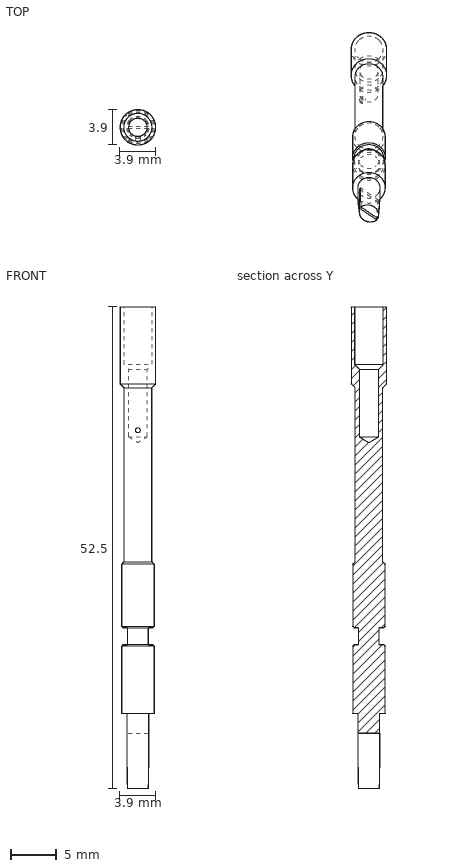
import cadquery as cq
import math

length = 52.5
head_radius = 1.95
stem_radius = 1.5
collar_radius = 1.8
neck_radius = 1.15
tip_radius = 1.2

tip_top = 8.2
lower_collar_top = 15.7
upper_collar_bottom = 17.55
upper_collar_top = 24.75
head_bottom = 43.7
edge_chamfer = 0.15

socket_radius = 1.5
socket_depth = 6.3
socket_bore_radius = 1.0
socket_bore_bottom = 38.3
drill_point_angle = 118
inspection_radius = 0.25
inspection_height = 39.05

slot_width = 0.2
slot_height = 6.05
prong_inset = 0.25
tip_overrun = 0.5


def turned_body():
    """Everything above the prongs, revolved about Z."""
    head_chamfer = head_radius - stem_radius
    collar_inner = collar_radius - edge_chamfer
    profile = [
        (0, slot_height),
        (tip_radius, slot_height),
        (tip_radius, tip_top),
        (collar_radius, tip_top),
        (collar_radius, lower_collar_top - edge_chamfer),
        (collar_inner, lower_collar_top),
        (neck_radius, lower_collar_top),
        (neck_radius, upper_collar_bottom),
        (collar_inner, upper_collar_bottom),
        (collar_radius, upper_collar_bottom + edge_chamfer),
        (collar_radius, upper_collar_top - (collar_radius - stem_radius)),
        (stem_radius, upper_collar_top),
        (stem_radius, head_bottom),
        (head_radius, head_bottom + head_chamfer),
        (head_radius, length),
        (0, length),
    ]
    return cq.Workplane("XZ").polyline(profile).close().revolve(360, (0, 0), (0, 1))


def wire_socket():
    """Stepped blind bore with a 45 degree step and a drill-point end."""
    step_top = length - socket_depth
    step_bottom = step_top - (socket_radius - socket_bore_radius)
    point_depth = socket_bore_radius / math.tan(math.radians(drill_point_angle / 2))
    profile = [
        (0, length),
        (socket_radius, length),
        (socket_radius, step_top),
        (socket_bore_radius, step_bottom),
        (socket_bore_radius, socket_bore_bottom),
        (0, socket_bore_bottom - point_depth),
    ]
    return cq.Workplane("XZ").polyline(profile).close().revolve(360, (0, 0), (0, 1))


def inspection_hole():
    """Hole through the front wall into the socket bore."""
    return (
        cq.Workplane("XZ")
        .center(0, inspection_height)
        .circle(inspection_radius)
        .extrude(stem_radius)
    )


def prong(side):
    """Half-round prong, bent inwards along an arc tangent to the tip."""
    bend_radius = (slot_height**2 + prong_inset**2) / (2 * prong_inset)
    bend_angle = math.asin((slot_height + tip_overrun) / bend_radius)

    def bend_point(angle):
        inset = bend_radius * (1 - math.cos(angle))
        return (-side * inset, slot_height - bend_radius * math.sin(angle))

    path = (
        cq.Workplane("YZ")
        .moveTo(0, slot_height)
        .threePointArc(bend_point(bend_angle / 2), bend_point(bend_angle))
    )
    bar = cq.Workplane("XY", origin=(0, 0, slot_height)).circle(tip_radius).sweep(path)
    block_size = 2 * tip_radius
    keep_block = (
        cq.Workplane("XY")
        .center(0, side * (slot_width + block_size) / 2)
        .box(2 * block_size, block_size, slot_height, centered=(True, True, False))
    )
    return bar.intersect(keep_block)


result = turned_body().cut(wire_socket()).cut(inspection_hole())
for side in (1, -1):
    result = result.union(prong(side))